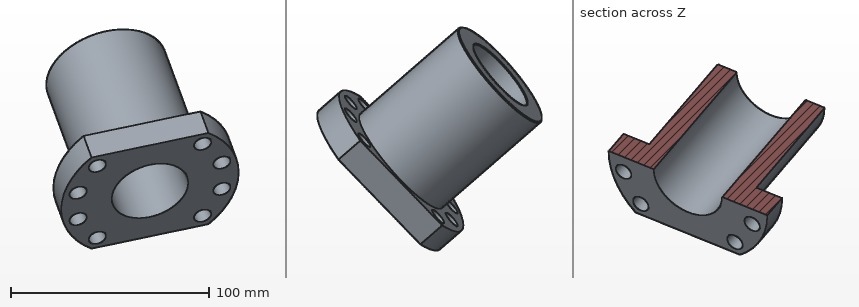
import cadquery as cq
import math

total_length = 83.0
flange_diameter = 93.0
flange_thickness = 15.0
flange_height = 70.0
body_diameter = 63.0
bore_diameter = 40.0
body_chamfer = 0.6
bore_chamfer = 0.5

hole_diameter = 9.0
hole_circle_diameter = 77.9
hole_angles = (15, 45)

flange_start = total_length - flange_thickness


def make_body():
    """Sleeve with a chamfered free end, running through to the flange face."""
    sleeve = cq.Workplane("YZ").circle(body_diameter / 2).extrude(total_length)
    return sleeve.faces("<X").chamfer(body_chamfer)


def make_flange():
    """Round flange trimmed by flats at the top and bottom."""
    plane = cq.Workplane("YZ", origin=(flange_start, 0, 0))
    disc = plane.circle(flange_diameter / 2).extrude(flange_thickness)
    flats = plane.rect(flange_diameter, flange_height).extrude(flange_thickness)
    return disc.intersect(flats)


def make_bore():
    """Through bore, widened by a small chamfer at the free end."""
    bore_radius = bore_diameter / 2
    profile = [
        (0, 0),
        (0, bore_radius + bore_chamfer),
        (bore_chamfer, bore_radius),
        (total_length, bore_radius),
        (total_length, 0),
    ]
    return cq.Workplane("XY").polyline(profile).close().revolve(360, (0, 0), (1, 0))


def make_mounting_holes():
    """Through holes on one bolt circle, two in each quadrant."""
    angles = []
    for angle in hole_angles:
        angles += [angle, 180 - angle, 180 + angle, 360 - angle]
    hole_radius = hole_circle_diameter / 2
    centers = [
        (hole_radius * math.cos(math.radians(angle)), hole_radius * math.sin(math.radians(angle)))
        for angle in angles
    ]
    plane = cq.Workplane("YZ", origin=(flange_start, 0, 0))
    return plane.pushPoints(centers).circle(hole_diameter / 2).extrude(flange_thickness)


result = make_body().union(make_flange()).cut(make_bore()).cut(make_mounting_holes())